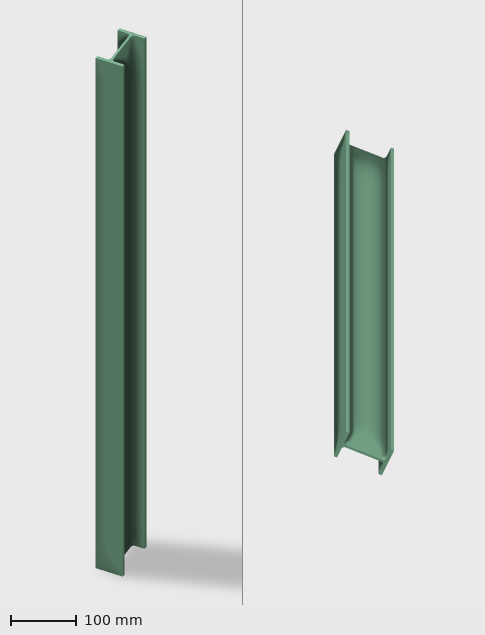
import cadquery as cq

length = 1000.0
depth = 80.0
flange_width = 46.0
flange_thickness = 5.2
web_thickness = 3.8
root_radius = 5.0

beam = cq.Workplane("XY").rect(web_thickness, depth).extrude(length)

flange_offset = (depth - flange_thickness) / 2
for side in (-1, 1):
    flange = (
        cq.Workplane("XY")
        .center(0, side * flange_offset)
        .rect(flange_width, flange_thickness)
        .extrude(length)
    )
    beam = beam.union(flange)

inner_depth = depth - 2 * flange_thickness
root_margin = 0.1
root_edges = cq.selectors.BoxSelector(
    (-web_thickness / 2 - root_margin, -inner_depth / 2 - root_margin, 0),
    (web_thickness / 2 + root_margin, inner_depth / 2 + root_margin, length),
)
result = beam.edges("|Z").edges(root_edges).fillet(root_radius)